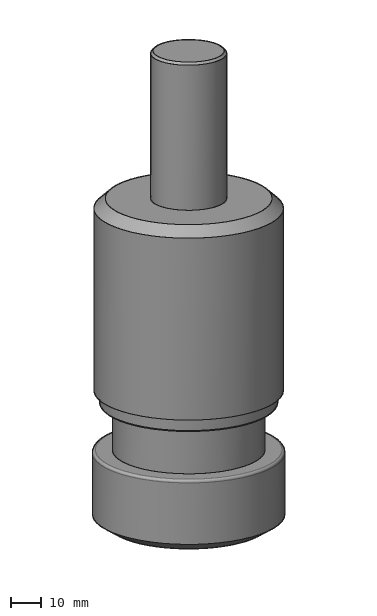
import cadquery as cq

rod_diameter = 25.0
body_diameter = 62.0
collar_diameter = 58.3
neck_diameter = 50.0
foot_diameter = 63.0

foot_top = 25.4
neck_top = 41.2
collar_top = 46.0
body_top = 112.0
rod_top = 162.9

rod_chamfer = 0.8
body_chamfer_width = 3.7
body_chamfer_height = 3.5
collar_chamfer = 0.5
foot_top_fillet = 1.0
foot_bottom_chamfer_width = 5.0
foot_bottom_chamfer_height = 3.3


def cylinder(diameter, bottom, top):
    """Vertical cylinder on the Z axis between two heights."""
    return cq.Workplane("XY").workplane(offset=bottom).circle(diameter / 2).extrude(top - bottom)


def bevelled_end(end_height, inner_height, diameter, bevel_width):
    """Cone frustum that narrows from the given diameter at inner_height to the end."""
    radius = diameter / 2
    outline = [(0, inner_height), (radius, inner_height), (radius - bevel_width, end_height), (0, end_height)]
    return cq.Workplane("XZ").polyline(outline).close().revolve(360, (0, 0), (0, 1))


foot = cylinder(foot_diameter, foot_bottom_chamfer_height, foot_top).faces(">Z").fillet(foot_top_fillet)
foot_bevel = bevelled_end(0, foot_bottom_chamfer_height, foot_diameter, foot_bottom_chamfer_width)

neck = cylinder(neck_diameter, foot_top, neck_top)
collar = cylinder(collar_diameter, neck_top, collar_top).faces("<Z").chamfer(collar_chamfer)

shoulder_height = body_top - body_chamfer_height
body = cylinder(body_diameter, collar_top, shoulder_height)
body_bevel = bevelled_end(body_top, shoulder_height, body_diameter, body_chamfer_width)

rod = cylinder(rod_diameter, body_top, rod_top).faces(">Z").chamfer(rod_chamfer)

result = foot.union(foot_bevel).union(neck).union(collar).union(body).union(body_bevel).union(rod)